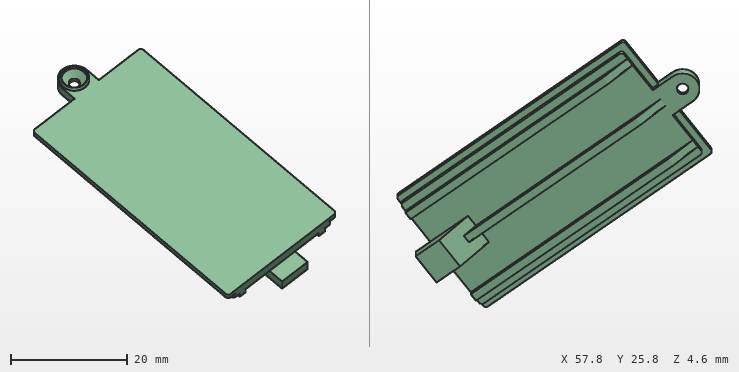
import cadquery as cq

total_length = 57.8
total_height = 4.6

plate_left = 5.95
plate_right = 54.7
plate_width = 25.8
plate_thickness = 1.05
lip_thickness = 1.0
corner_radius = 0.6
lip_inset = 1.2

ear_radius = 2.9
rim_height = 0.5
rim_base_radius = 2.6
rim_top_radius = 2.3
rim_wall_height = 0.1
screw_hole_radius = 1.0
countersink_radius = 2.2
countersink_depth = 1.75
countersink_wall_height = 0.5

rib_height = 0.85
rib_width = 1.5
rib_spacing = 9.4
rib_ramp_length = 5.2

tab_width = 6.05
tab_ramp_start = 46.6
tab_ramp_end = 52.8

plate_top = -rim_height
plate_bottom = plate_top - plate_thickness
lip_bottom = plate_bottom - lip_thickness
rib_bottom = lip_bottom - rib_height
lip_left = plate_left + lip_inset
lip_width = plate_width - 2 * lip_inset


def rounded_layer(left, width, bottom, thickness):
    """A flat layer ending at the plate's right edge, with rounded corners."""
    length = plate_right - left
    return (
        cq.Workplane("XY", origin=(left + length / 2, 0, bottom))
        .rect(length, width)
        .extrude(thickness)
        .edges("|Z")
        .fillet(corner_radius)
    )


def profile_bar(points, width, center_y):
    """Extrude an XZ profile to the given width, centred on center_y."""
    return (
        cq.Workplane("XZ", origin=(0, center_y, 0))
        .polyline(points)
        .close()
        .extrude(width / 2, both=True)
    )


def make_ear():
    """Round-ended ear, as deep as the plate and lip together."""
    thickness = plate_top - lip_bottom
    base = cq.Workplane("XY", origin=(ear_radius, 0, lip_bottom))
    disc = base.circle(ear_radius).extrude(thickness)
    neck_length = lip_left + corner_radius - ear_radius
    neck = base.rect(neck_length, 2 * ear_radius).extrude(thickness)
    return disc.union(neck.translate((neck_length / 2, 0, 0)))


def make_rim():
    """Short cylinder topped by a taper, standing on the ear."""
    half_profile = [
        (0, lip_bottom),
        (rim_base_radius, lip_bottom),
        (rim_base_radius, plate_top + rim_wall_height),
        (rim_top_radius, 0),
        (0, 0),
    ]
    rim = cq.Workplane("XZ").polyline(half_profile).close().revolve(360, (0, 0), (0, 1))
    return rim.translate((ear_radius, 0, 0))


def make_screw_hole():
    """Through hole with a conical countersink below a short straight wall."""
    half_profile = [
        (0, lip_bottom),
        (screw_hole_radius, lip_bottom),
        (screw_hole_radius, -countersink_depth),
        (countersink_radius, -countersink_wall_height),
        (countersink_radius, 0),
        (0, 0),
    ]
    hole = cq.Workplane("XZ").polyline(half_profile).close().revolve(360, (0, 0), (0, 1))
    return hole.translate((ear_radius, 0, 0))


plate = rounded_layer(plate_left, plate_width, plate_bottom, plate_thickness)
lip = rounded_layer(lip_left, lip_width, lip_bottom, lip_thickness)
result = plate.union(lip).union(make_ear()).union(make_rim())

rib_profile = [
    (lip_left, lip_bottom),
    (lip_left + rib_ramp_length, rib_bottom),
    (plate_right, rib_bottom),
    (plate_right, lip_bottom),
]
for rib_y in (-rib_spacing, 0, rib_spacing):
    result = result.union(profile_bar(rib_profile, rib_width, rib_y))

tab_profile = [
    (tab_ramp_start, lip_bottom),
    (tab_ramp_end, -total_height),
    (total_length, -total_height),
    (total_length, lip_bottom),
]
result = result.union(profile_bar(tab_profile, tab_width, 0))

result = result.cut(make_screw_hole())